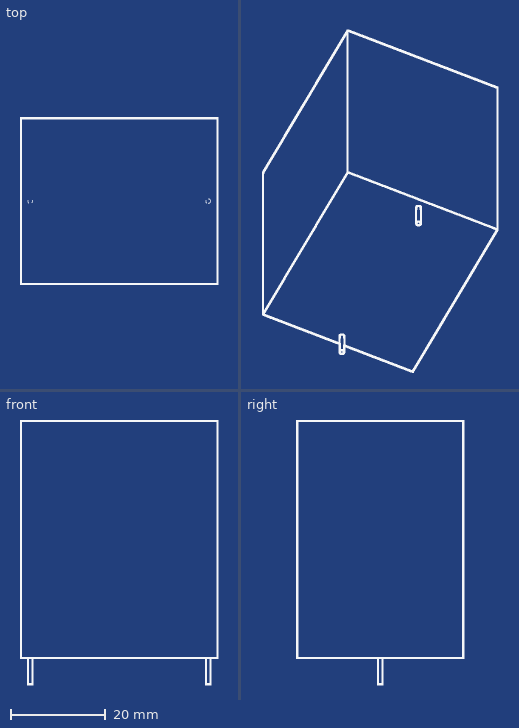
import cadquery as cq

housing_length = 41.5
housing_width = 35.0
housing_height = 50.0

pin_diameter = 0.99
pin_length = 5.52
pin_spacing = 37.5


def make_housing():
    """Plain rectangular block."""
    return cq.Workplane("XY").box(
        housing_length, housing_width, housing_height, centered=(True, True, False)
    )


def make_pin(x):
    """Round pin hanging from the underside of the housing at the given X."""
    return cq.Workplane("XY").center(x, 0).circle(pin_diameter / 2).extrude(-pin_length)


housing = make_housing()
pins = [make_pin(side * pin_spacing / 2) for side in (-1, 1)]

result = cq.Compound.makeCompound([housing.val(), *[pin.val() for pin in pins]])